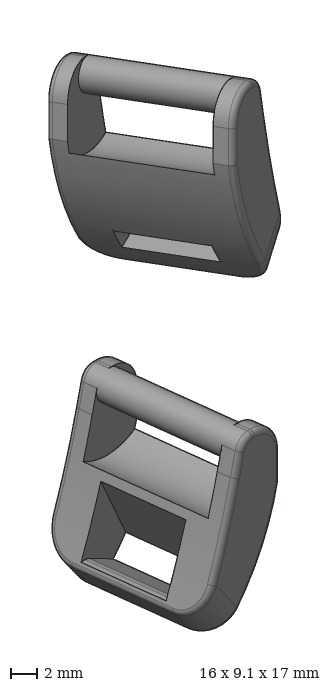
import cadquery as cq
import math

width = 16.0
height = 16.97
edge_radius = 0.5
corner_radius = 3.0

front_round = 3.0
bar_radius = 1.48
bar_y = 3.3
bar_z = height - bar_radius

front_flat_bottom = 11.03
belly_radius = 20.0
belly_center_y = 19.52
belly_center_z = front_flat_bottom + math.sqrt(belly_radius**2 - belly_center_y**2)
end_front_y = 7.05

back_slope_angle = 14.7
straight_bottom_z = 13.75
end_back = (9.18, 2.53)

window_width = 12.4
window_radius = 6.25

slot_width = 8.43
slot_front_top = (3.65, 3.12)
slot_back_top = (6.53, 9.06)
slot_front_bottom = (5.09, 1.5)
slot_crest_start = (7.98, 2.95)
slot_crest_mid = (8.21, 3.04)
slot_floor_end = (8.47, 3.07)
back_overrun = 3.4
front_overrun = 0.85


def belly_y(z):
    """Y of the convex front arc at height z."""
    return belly_center_y - math.sqrt(belly_radius**2 - (belly_center_z - z)**2)


def extrude_centered(sketch, length):
    """Extrude a YZ outline symmetrically about X = 0."""
    return sketch.extrude(length).translate((-length / 2, 0, 0))


def extend(start, end, run_y):
    """Point further along the line from start to end, run_y beyond end in Y."""
    slope = (end[1] - start[1]) / (end[0] - start[0])
    return (end[0] + run_y, end[1] + slope * run_y)


def make_body():
    diagonal = math.sqrt(0.5)
    angle = math.radians(back_slope_angle)
    round_end = (bar_y + bar_radius * math.cos(angle), bar_z + bar_radius * math.sin(angle))
    round_mid_angle = (angle + math.pi / 2) / 2
    round_mid = (
        bar_y + bar_radius * math.cos(round_mid_angle),
        bar_z + bar_radius * math.sin(round_mid_angle),
    )
    straight_end_y = round_end[0] + (round_end[1] - straight_bottom_z) * math.tan(angle)
    belly_mid_z = front_flat_bottom / 2
    end_front_z = belly_center_z - math.sqrt(belly_radius**2 - (belly_center_y - end_front_y)**2)
    profile = (
        cq.Workplane("YZ")
        .moveTo(0, front_flat_bottom)
        .lineTo(0, height - front_round)
        .threePointArc(
            (front_round * (1 - diagonal), height - front_round * (1 - diagonal)),
            (front_round, height),
        )
        .lineTo(bar_y, height)
        .threePointArc(round_mid, round_end)
        .lineTo(straight_end_y, straight_bottom_z)
        .tangentArcPoint(end_back, relative=False)
        .lineTo(end_front_y, end_front_z)
        .threePointArc((belly_y(belly_mid_z), belly_mid_z), (0, front_flat_bottom))
        .close()
    )
    body = extrude_centered(profile, width)

    end_mid = ((end_back[0] + end_front_y) / 2, (end_back[1] + end_front_z) / 2)
    for side in (-1, 1):
        corner = cq.selectors.NearestToPointSelector((side * width / 2, *end_mid))
        body = body.edges(corner).fillet(corner_radius)
    return body.faces("<X or >X").edges().fillet(edge_radius)


def bar_cylinder(radius):
    """Cylinder along the bar axis, as long as the window is wide."""
    circle = cq.Workplane("YZ").center(bar_y, bar_z).circle(radius)
    cylinder = extrude_centered(circle, window_width)
    return cylinder.rotate((0, bar_y, bar_z), (1, bar_y, bar_z), 90)


def make_slot():
    profile = (
        cq.Workplane("YZ")
        .moveTo(*extend(slot_back_top, slot_front_top, -front_overrun))
        .lineTo(*extend(slot_front_top, slot_back_top, back_overrun))
        .lineTo(slot_floor_end[0] + back_overrun, slot_back_top[1])
        .lineTo(slot_floor_end[0] + back_overrun, slot_floor_end[1])
        .lineTo(*slot_floor_end)
        .threePointArc(slot_crest_mid, slot_crest_start)
        .lineTo(*extend(slot_crest_start, slot_front_bottom, -front_overrun))
        .close()
    )
    return extrude_centered(profile, slot_width)


window = bar_cylinder(window_radius)
bar = bar_cylinder(bar_radius)
result = make_body().cut(window).union(bar).cut(make_slot())